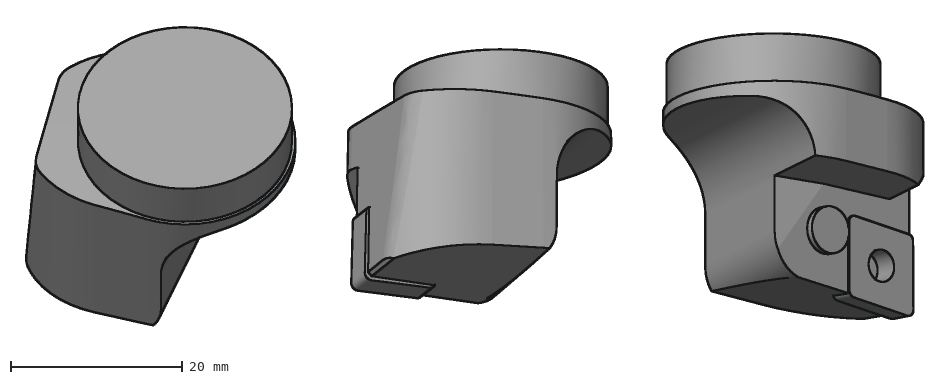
import cadquery as cq
import math

spigot_diameter = 25.0
spigot_height = 5.88
body_radius = 12.9
shoulder_slope = 2.5

flat_length = 6.45
rear_end_radius = 12.23
rear_flat_angle = 11.0
body_depth = 25.42
trim_size = 63.55

nose_x = -16.65
nose_turn = 0.145
nose_lean = 0.082
nose_blend = 3.5
nose_chamfer = 0.38

under_z = -20.05
under_rise = 0.085
under_fall = 0.107

wall_x = 1.78
flange_z = -1.4
flange_slope = 5.0
flange_blend = 7.62
heel_blend = 4.92

tip_x = -18.95
tip_y = 0.0
tip_z = -22.18
rake_turn = 0.154
rake_lean = 0.107
insert_edge = 9.72
insert_angle = 80.0
insert_thickness = 3.08
insert_nose = 0.8
screw_hole_diameter = 3.8

gullet_y = 3.35
gullet_roof_z = -8.83
gullet_ramp_x = -14.6
gullet_ramp_angle = 45.0
gullet_step = 0.25

boss_x = -5.55
boss_y = 2.92
boss_z = -14.3
boss_diameter = 5.55
boss_height = 0.65
boss_root = 1.6


def half_space(point, normal):
    """Block that fills the side of a plane toward which the normal points."""
    plane = cq.Plane(origin=point, normal=normal)
    return cq.Workplane(plane).rect(2 * trim_size, 2 * trim_size).extrude(trim_size)


def on_circle(center, radius, angle):
    """Point on a circle, angle in degrees."""
    a = math.radians(angle)
    return (center[0] + radius * math.cos(a), center[1] + radius * math.sin(a))


def rake_plane(depth=0.0):
    """Plane of the rake face, sunk by depth; local x follows the lower cutting edge."""
    normal = cq.Vector(-rake_turn, 1, -rake_lean).normalized()
    edge = cq.Vector(1, rake_turn + rake_lean * under_rise, under_rise)
    origin = cq.Vector(tip_x, tip_y, tip_z) - normal * depth
    return cq.Plane(origin=origin, xDir=edge, normal=normal)


def make_body_block():
    """Prism of the outline with the tilted nose face and its two rounded corners."""
    turn = 90 + rear_flat_angle
    a = math.radians(rear_flat_angle)
    inset = body_radius - rear_end_radius
    rear_center = (
        -flat_length * math.cos(a) - inset * math.sin(a),
        -flat_length * math.sin(a) + inset * math.cos(a),
    )
    front_center = (-flat_length, 0)
    meet_angle = 180 + rear_flat_angle / 2
    rear_meet = on_circle(rear_center, rear_end_radius, meet_angle)
    front_meet = on_circle(front_center, body_radius, meet_angle)
    block = (
        cq.Workplane("XY")
        .moveTo(*on_circle((0, 0), body_radius, -90))
        .threePointArc(on_circle((0, 0), body_radius, 0), on_circle((0, 0), body_radius, turn))
        .lineTo(*on_circle(rear_center, rear_end_radius, turn))
        .threePointArc(on_circle(rear_center, rear_end_radius, (turn + meet_angle) / 2), rear_meet)
        .lineTo(*front_meet)
        .threePointArc(
            on_circle(front_center, body_radius, (270 + meet_angle) / 2),
            on_circle(front_center, body_radius, 270),
        )
        .close()
        .extrude(-body_depth)
    )
    block = block.cut(half_space((nose_x, 0, 0), (-1, -nose_turn, nose_lean)))
    return block.edges("%ELLIPSE").fillet(nose_blend)


def make_shoulder_trim():
    """Ring that trims the shoulder to a shallow cone outside the spigot."""
    drop = (trim_size - spigot_diameter / 2) * math.tan(math.radians(shoulder_slope))
    return (
        cq.Workplane("XZ")
        .polyline([(spigot_diameter / 2, 0), (trim_size, 0), (trim_size, -drop)])
        .close()
        .revolve(360, (0, 0, 0), (0, 1, 0))
    )


def make_nose_chamfer():
    """Region outside a flat that cuts the lower nose edge evenly on both sides."""
    edge_x = (nose_x + nose_lean * under_z) / (1 - nose_lean * under_rise)
    edge_z = under_z + under_rise * edge_x
    face_normal = cq.Vector(-1, -nose_turn, nose_lean).normalized()
    under_normal = cq.Vector(under_rise, -under_fall, -1).normalized()
    normal = (face_normal + under_normal).normalized()
    point = cq.Vector(edge_x, 0, edge_z) - normal * nose_chamfer
    return half_space(point.toTuple(), normal.toTuple())


def make_heel_relief():
    """Region beyond the wall and below the flange, with both bends rounded."""
    slope = math.radians(flange_slope)
    lean = math.atan(under_rise)
    bend_x = wall_x + flange_blend
    bend_z = (
        flange_z - (body_radius - bend_x) * math.tan(slope) - flange_blend / math.cos(slope)
    )
    flange_end = (bend_x - flange_blend * math.sin(slope), bend_z + flange_blend * math.cos(slope))
    half_bend = (math.pi / 2 - slope) / 2
    flange_mid = (
        bend_x - flange_blend * math.cos(half_bend),
        bend_z + flange_blend * math.sin(half_bend),
    )
    heel_x = wall_x - heel_blend
    heel_z = under_z + under_rise * heel_x - under_fall * gullet_y + heel_blend / math.cos(lean)
    heel_end = (heel_x + heel_blend * math.sin(lean), heel_z - heel_blend * math.cos(lean))
    half_heel = (math.pi / 2 - lean) / 2
    heel_mid = (
        heel_x + heel_blend * math.cos(half_heel),
        heel_z - heel_blend * math.sin(half_heel),
    )
    return (
        cq.Workplane("XZ")
        .moveTo(body_radius + flange_blend, flange_z + flange_blend * math.tan(slope))
        .lineTo(*flange_end)
        .threePointArc(flange_mid, (wall_x, bend_z))
        .lineTo(wall_x, heel_z)
        .threePointArc(heel_mid, heel_end)
        .lineTo(heel_end[0], -trim_size)
        .lineTo(body_radius + flange_blend, -trim_size)
        .close()
        .extrude(trim_size, both=True)
    )


def make_gullet():
    """Space above the rake floor and outside the gullet wall, under its ramped roof."""
    floor = rake_plane(gullet_step)
    above_floor = half_space(floor.origin.toTuple(), floor.zDir.toTuple())
    outside_wall = half_space((0, gullet_y, 0), (0, 1, 0))
    ramp_rise = (trim_size + gullet_ramp_x) * math.tan(math.radians(gullet_ramp_angle))
    under_roof = (
        cq.Workplane("XZ")
        .moveTo(-trim_size, gullet_roof_z + ramp_rise)
        .lineTo(gullet_ramp_x, gullet_roof_z)
        .lineTo(trim_size, gullet_roof_z)
        .lineTo(trim_size, -trim_size)
        .lineTo(-trim_size, -trim_size)
        .close()
        .extrude(trim_size, both=True)
    )
    return under_roof.intersect(above_floor.union(outside_wall))


def make_insert_blank():
    """Rhombic plate below the rake face, all four corners rounded."""
    a = math.radians(insert_angle)
    side = (insert_edge * math.cos(a), -insert_edge * math.sin(a))
    return (
        cq.Workplane(rake_plane())
        .polyline([(0, 0), (insert_edge, 0), (insert_edge + side[0], side[1]), side])
        .close()
        .extrude(-insert_thickness)
        .edges(cq.selectors.ParallelDirSelector(rake_plane().zDir))
        .fillet(insert_nose)
    )


def make_insert():
    """Insert blank with its screw hole through the middle."""
    a = math.radians(insert_angle)
    center = (insert_edge * (1 + math.cos(a)) / 2, -insert_edge * math.sin(a) / 2)
    hole = (
        cq.Workplane(rake_plane())
        .center(*center)
        .circle(screw_hole_diameter / 2)
        .extrude(-insert_thickness)
    )
    return make_insert_blank().cut(hole)


def make_boss():
    """Locating boss square to the rake plane."""
    local = rake_plane().toLocalCoords(cq.Vector(boss_x, boss_y, boss_z))
    return (
        cq.Workplane(rake_plane(boss_root))
        .center(local.x, local.y)
        .circle(boss_diameter / 2)
        .extrude(boss_root + boss_height)
    )


def make_holder():
    """Spigot, shouldered body, gullet and the recess that seats the insert."""
    spigot = cq.Workplane("XY").circle(spigot_diameter / 2).extrude(spigot_height)
    underside = half_space((0, 0, under_z), (under_rise, -under_fall, -1))
    return (
        make_body_block()
        .cut(make_shoulder_trim())
        .cut(underside)
        .cut(make_nose_chamfer())
        .cut(make_heel_relief())
        .cut(make_gullet())
        .union(make_boss())
        .union(spigot)
        .cut(make_insert_blank())
    )


holder = make_holder()
insert = make_insert()
result = cq.Compound.makeCompound([*holder.solids().vals(), *insert.solids().vals()])